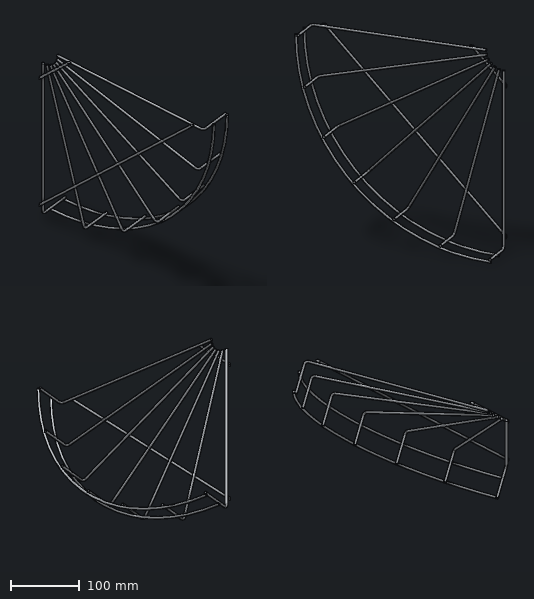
import math
import cadquery as cq

OVERALL_SPAN = 311.55
OVERALL_DEPTH = 57.99

WIRE_DIAMETER = 4.5
WIRE_RADIUS = WIRE_DIAMETER / 2
LEG_OVERRUN = 1.5
WELD_OVERLAP = 0.9
BRACE_OVERLAP = 0.1

RIB_COUNT = 7
FAN_ANGLE = 90.0
RIB_START = 27.5
BEND_RADIUS = 5.4

RAIL_RADIUS = OVERALL_SPAN - 2 * WIRE_RADIUS
RAIL_SPACING = 30.2
RAIL_END_OVERHANG = 1.0
LEG_RADIUS = RAIL_RADIUS - (WIRE_DIAMETER - WELD_OVERLAP)

BRACE_Y = -(WIRE_DIAMETER - BRACE_OVERLAP)
EDGE_RAIL_Y = BRACE_Y + OVERALL_DEPTH - WIRE_DIAMETER
MIDDLE_RAIL_Y = EDGE_RAIL_Y - RAIL_SPACING
LEG_END_Y = EDGE_RAIL_Y + LEG_OVERRUN

BRACE_REACHES = (55.0, 288.0)


def make_rib():
    """Wire along +X that turns through a right angle into a leg along +Y."""
    bend_start = LEG_RADIUS - BEND_RADIUS
    bend_offset = BEND_RADIUS / math.sqrt(2)
    bend_middle = (bend_start + bend_offset, BEND_RADIUS - bend_offset)
    path = (
        cq.Workplane("XY")
        .moveTo(RIB_START, 0)
        .lineTo(bend_start, 0)
        .threePointArc(bend_middle, (LEG_RADIUS, BEND_RADIUS))
        .lineTo(LEG_RADIUS, LEG_END_Y)
    )
    return cq.Workplane("YZ", origin=(RIB_START, 0, 0)).circle(WIRE_RADIUS).sweep(path)


def make_rail(y):
    """Circular wire at height y from the +X axis to the -Z axis, overhanging both axes."""
    overhang_angle = math.degrees(RAIL_END_OVERHANG / RAIL_RADIUS)
    profile = cq.Workplane("XY").center(RAIL_RADIUS, y).circle(WIRE_RADIUS)
    rail = profile.revolve(FAN_ANGLE + 2 * overhang_angle, (-RAIL_RADIUS, 0, 0), (-RAIL_RADIUS, 1, 0))
    return rail.rotate((0, 0, 0), (0, 1, 0), -overhang_angle)


def make_brace(reach):
    """45 degree wire whose ends are trimmed flush with the outer sides of the end ribs."""
    overrun = WIRE_DIAMETER
    start = cq.Vector(-WIRE_RADIUS - overrun, BRACE_Y, WIRE_RADIUS - reach - overrun)
    direction = cq.Vector(1, 0, 1)
    length = (reach + 2 * overrun) * math.sqrt(2)
    wire = cq.Workplane(cq.Solid.makeCylinder(WIRE_RADIUS, length, start, direction))
    trim = (
        cq.Workplane("XY")
        .box(OVERALL_SPAN, OVERALL_DEPTH, OVERALL_SPAN, centered=(False, True, False))
        .translate((-WIRE_RADIUS, 0, WIRE_RADIUS - OVERALL_SPAN))
    )
    return wire.intersect(trim)


rib = make_rib()
result = rib
for index in range(1, RIB_COUNT):
    angle = index * FAN_ANGLE / (RIB_COUNT - 1)
    result = result.union(rib.rotate((0, 0, 0), (0, 1, 0), angle))

for rail_y in (EDGE_RAIL_Y, MIDDLE_RAIL_Y):
    result = result.union(make_rail(rail_y))

for brace_reach in BRACE_REACHES:
    result = result.union(make_brace(brace_reach))